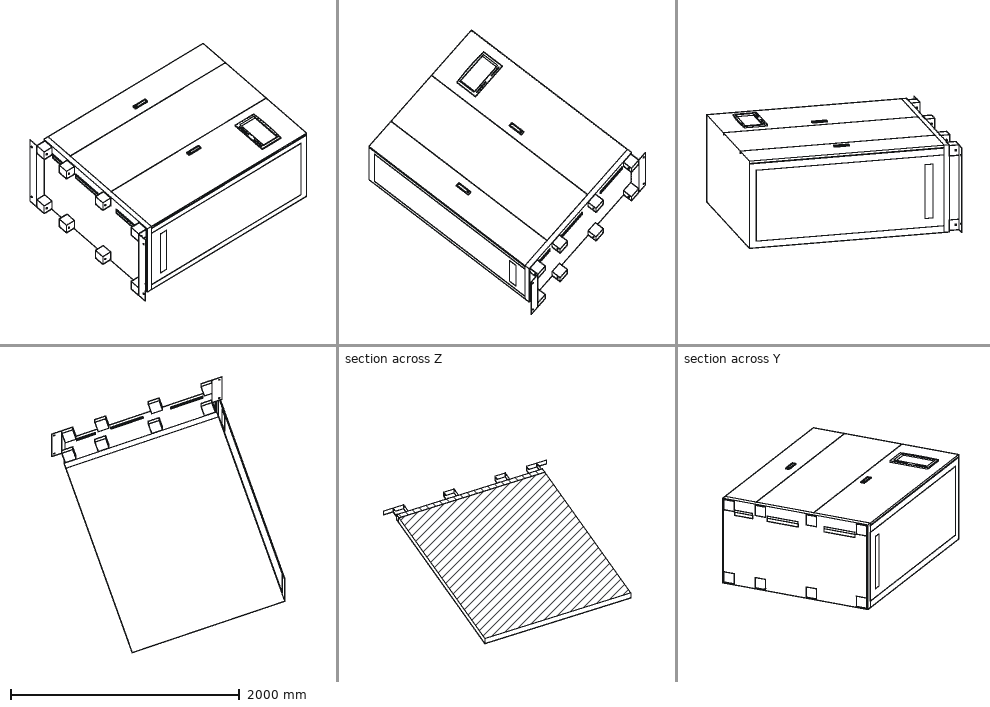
import cadquery as cq

WIDTH = 1413.0
HEIGHT = 1903.0
DEPTH = 800.0
HALF_WIDTH = WIDTH / 2
OVERALL_WIDTH = 1575.5

BASE_BOTTOM = 91.0
BASE_TOP = 138.0

FOOT_WIDTH = 102.0
FOOT_DEPTH = 98.0
SHEET = 2.0
FOOT_EDGE_INSET = 10.0
FOOT_OUTER_X = 694.5
OUTER_FOOT_X = FOOT_OUTER_X - FOOT_WIDTH / 2
INNER_LEFT_FOOT_X = -339.0
INNER_RIGHT_FOOT_X = 156.0
FOOT_X = (-OUTER_FOOT_X, INNER_LEFT_FOOT_X, INNER_RIGHT_FOOT_X, OUTER_FOOT_X)
BACK_FOOT_Z = FOOT_EDGE_INSET + FOOT_DEPTH / 2
FOOT_Z = (BACK_FOOT_Z, DEPTH - BACK_FOOT_Z)
BOLT_DIAMETER = 14.0
BOLT_HEIGHT = 30.0

CABLE_ENTRIES = ((-504.0, 175.0), (-123.5, 300.0), (428.0, 300.0))
ENTRY_FRONT = 707.0
ENTRY_STEP = ENTRY_FRONT - 21.0
ENTRY_BACK = ENTRY_FRONT - 50.0
ENTRY_SHALLOW_DEPTH = 3.0
ENTRY_DEEP_DEPTH = 6.0

DOOR_THICKNESS = 22.0
DOOR_BACK = DEPTH - DOOR_THICKNESS
SEAM_WIDTH = 3.0
LEFT_SEAM_X = -402.0
RIGHT_SEAM_X = 156.0
SIDE_GROOVE_WIDTH = 5.0
SIDE_GROOVE_DEPTH = 3.0
FRAME_FRONT = DOOR_BACK - SIDE_GROOVE_WIDTH

PANEL_BORDER = 62.0
PANEL_RECESS = 2.0
VENT_BOTTOM = 240.0
VENT_TOP = 312.0
VENT_BACK = 142.0
VENT_FRONT = 635.0
VENT_RAISE = 1.0

BRACKET_HEIGHT = 88.0
BRACKET_BACK = 12.0
BRACKET_FRONT = DEPTH - BRACKET_BACK
ANCHOR_DIAMETER = 13.0
ANCHOR_INSET = 24.0
ANCHOR_SPACING = 630.0
ANCHOR_X = OVERALL_WIDTH / 2 - ANCHOR_INSET

LEFT_HANDLE_SEAM_DISTANCE = 89.0
RIGHT_HANDLE_SEAM_DISTANCE = 83.0
HANDLE_X = (LEFT_SEAM_X - LEFT_HANDLE_SEAM_DISTANCE, RIGHT_SEAM_X + RIGHT_HANDLE_SEAM_DISTANCE)
HANDLE_WIDTH = 37.0
HANDLE_BOTTOM = 940.0
HANDLE_TOP = 1078.0
HANDLE_THICKNESS = 7.0
LEVER_WIDTH = 22.0
LEVER_BOTTOM = 970.0
LEVER_TOP = HANDLE_TOP - (HANDLE_WIDTH - LEVER_WIDTH) / 2
HANDLE_RECESS = 3.0
LOCK_DIAMETER = 14.0

DISPLAY_X = 428.0
DISPLAY_WIDTH = 370.0
DISPLAY_BOTTOM = 1477.0
DISPLAY_CORNER_TOP = 1688.0
DISPLAY_BULGE = 7.0
DISPLAY_THICKNESS = 12.7
DISPLAY_FACE = DEPTH + DISPLAY_THICKNESS
SCREEN_WIDTH = 326.0
SCREEN_FLOOR_WIDTH = 298.0
SCREEN_BOTTOM = 1513.0
SCREEN_TOP = 1673.0
SCREEN_DEPTH = 12.0

KEY_SLOTS = ((280.0, 405.0), (482.0, 584.0))
KEY_BOTTOM = 1490.0
KEY_TOP = 1497.0
KEY_DEPTH = 2.0


def block(x_range, y_range, z_range):
    """Box spanning the given (low, high) range on each axis."""
    lengths = [high - low for low, high in (x_range, y_range, z_range)]
    corner = (x_range[0], y_range[0], z_range[0])
    return cq.Workplane("XY").box(*lengths, centered=False).translate(corner)


def around(centre, length):
    """Range of the given length about a centre."""
    return (centre - length / 2, centre + length / 2)


def cylinder_along_x(y, z, diameter):
    """Cutter for a bolt hole that crosses the whole width."""
    return cq.Workplane("YZ").center(y, z).circle(diameter / 2).extrude(OVERALL_WIDTH, both=True)


def side_layer(side, inner_depth, outer_depth):
    """X range between two depths below the left (-1) or right (+1) face."""
    return sorted((side * (HALF_WIDTH - inner_depth), side * (HALF_WIDTH - outer_depth)))


def make_cabinet():
    full_height = (BASE_TOP, HEIGHT)
    cabinet = block((-HALF_WIDTH, HALF_WIDTH), full_height, (0, DEPTH))

    for seam_x in (LEFT_SEAM_X, RIGHT_SEAM_X):
        cabinet = cabinet.cut(block(around(seam_x, SEAM_WIDTH), full_height, (DOOR_BACK, DEPTH)))

    panel_height = (BASE_TOP, HEIGHT - PANEL_BORDER)
    panel_depth = (PANEL_BORDER, FRAME_FRONT - PANEL_BORDER)
    for side in (-1, 1):
        groove_x = side_layer(side, SIDE_GROOVE_DEPTH, 0)
        cabinet = cabinet.cut(block(groove_x, full_height, (FRAME_FRONT, DOOR_BACK)))

        recess = block(side_layer(side, PANEL_RECESS, 0), panel_height, panel_depth)
        vent_x = side_layer(side, PANEL_RECESS, PANEL_RECESS - VENT_RAISE)
        vent = block(vent_x, (VENT_BOTTOM, VENT_TOP), (VENT_BACK, VENT_FRONT))
        cabinet = cabinet.cut(recess.cut(vent))
    return cabinet


def make_foot():
    """Thin-walled foot, closed at the floor and open towards the base."""
    outside = block(around(0, FOOT_WIDTH), (0, BASE_BOTTOM), around(0, FOOT_DEPTH))
    inside = block(
        around(0, FOOT_WIDTH - 2 * SHEET), (SHEET, BASE_BOTTOM), around(0, FOOT_DEPTH - 2 * SHEET)
    )
    return outside.cut(inside).cut(cylinder_along_x(BOLT_HEIGHT, 0, BOLT_DIAMETER))


def make_base():
    """Base frame with its cable entries and the eight feet."""
    base = block((-HALF_WIDTH, HALF_WIDTH), (BASE_BOTTOM, BASE_TOP), (0, DEPTH))
    for centre_x, length in CABLE_ENTRIES:
        entry_x = around(centre_x, length)
        deep_y = (BASE_BOTTOM, BASE_BOTTOM + ENTRY_DEEP_DEPTH)
        shallow_y = (BASE_BOTTOM, BASE_BOTTOM + ENTRY_SHALLOW_DEPTH)
        base = base.cut(block(entry_x, deep_y, (ENTRY_BACK, ENTRY_STEP)))
        base = base.cut(block(entry_x, shallow_y, (ENTRY_STEP, ENTRY_FRONT)))
    foot = make_foot()
    for x in FOOT_X:
        for z in FOOT_Z:
            base = base.union(foot.translate((x, 0, z)))
    return base


def make_right_bracket():
    """Angle with a web bolted to the outer feet and a flange on the floor."""
    length = (BRACKET_BACK, BRACKET_FRONT)
    web = block((FOOT_OUTER_X, FOOT_OUTER_X + SHEET), (0, BRACKET_HEIGHT), length)
    flange = block((FOOT_OUTER_X, OVERALL_WIDTH / 2), (0, SHEET), length)
    bracket = web.union(flange)
    for z in FOOT_Z:
        bracket = bracket.cut(cylinder_along_x(BOLT_HEIGHT, z, BOLT_DIAMETER))
    for z in around(DEPTH / 2, ANCHOR_SPACING):
        anchor = cq.Workplane("XZ").center(ANCHOR_X, z).circle(ANCHOR_DIAMETER / 2)
        bracket = bracket.cut(anchor.extrude(BRACKET_HEIGHT, both=True))
    return bracket


def make_handle(centre_x):
    """Flat handle plate with a lever recess above a round lock recess."""
    face = DEPTH + HANDLE_THICKNESS
    plate = block(around(centre_x, HANDLE_WIDTH), (HANDLE_BOTTOM, HANDLE_TOP), (DEPTH, face))
    lever_x = around(centre_x, LEVER_WIDTH)
    lever = block(lever_x, (LEVER_BOTTOM, LEVER_TOP), (face - HANDLE_RECESS, face))
    lock_y = (HANDLE_BOTTOM + LEVER_BOTTOM) / 2
    lock = cq.Workplane("XY", origin=(centre_x, lock_y, face)).circle(LOCK_DIAMETER / 2)
    return plate.cut(lever).cut(lock.extrude(-HANDLE_RECESS))


def make_display():
    """Display housing with a bowed top edge, a sloped screen recess and key slots."""
    half_width = DISPLAY_WIDTH / 2
    housing = (
        cq.Workplane("XY", origin=(DISPLAY_X, 0, DEPTH))
        .moveTo(-half_width, DISPLAY_BOTTOM)
        .lineTo(half_width, DISPLAY_BOTTOM)
        .lineTo(half_width, DISPLAY_CORNER_TOP)
        .threePointArc((0, DISPLAY_CORNER_TOP + DISPLAY_BULGE), (-half_width, DISPLAY_CORNER_TOP))
        .close()
        .extrude(DISPLAY_THICKNESS)
    )
    half_mouth = SCREEN_WIDTH / 2
    half_floor = SCREEN_FLOOR_WIDTH / 2
    screen = (
        cq.Workplane("XZ", origin=(DISPLAY_X, SCREEN_TOP, DISPLAY_FACE))
        .moveTo(-half_mouth, 0)
        .lineTo(half_mouth, 0)
        .lineTo(half_floor, -SCREEN_DEPTH)
        .lineTo(-half_floor, -SCREEN_DEPTH)
        .close()
        .extrude(SCREEN_TOP - SCREEN_BOTTOM)
    )
    display = housing.cut(screen)
    for key_x in KEY_SLOTS:
        key_z = (DISPLAY_FACE - KEY_DEPTH, DISPLAY_FACE)
        display = display.cut(block(key_x, (KEY_BOTTOM, KEY_TOP), key_z))
    return display


cabinet = make_cabinet()
base = make_base()
right_bracket = make_right_bracket()
left_bracket = right_bracket.mirror("YZ")
handles = [make_handle(centre_x) for centre_x in HANDLE_X]
display = make_display()

result = cq.Compound.makeCompound(
    [
        cabinet.val(),
        base.val(),
        left_bracket.val(),
        right_bracket.val(),
        *[handle.val() for handle in handles],
        display.val(),
    ]
)